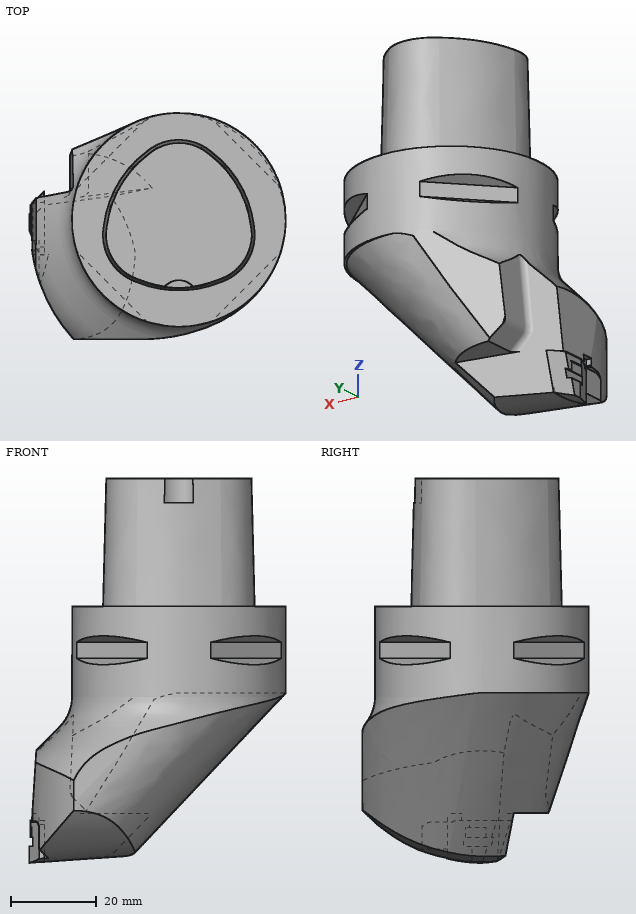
import cadquery as cq
import math

flange_radius = 50.0 / 2
shank_height = 30.0
overall_height = 90.0
tip_z = shank_height - overall_height
tip_x = -35.0
front_face_y = -28.0
far = 54.0

lobe_radius = 18.7
flat_radius = 16.6
joint_radius = 17.6
joint_half_angle = 25.4
shank_taper = math.degrees(math.atan(1 / 40))
key_radius = 4.4
key_depth = 5.8
key_center_y = -18.5

slot_z = -10.3
slot_floor_height = 3.7
slot_mouth_height = 6.75
slot_floor_radius = 22.1
slot_overrun = 1.8
slot_angles = (45, 135, 225, 315)

flange_bottom_z = -20.25
neck_land = 0.9
neck_z = flange_bottom_z - neck_land
neck_fillet = 10.0
cone_end_radius = 32.7
shoulder_radius = 18.0

back_top_radius = (flange_radius - front_face_y) / 2
back_lean = 0.778
front_edge_x = 0.2
front_edge_lean = 0.97
back_shrink = 0.167
flank_angle = 110.0
flank_tilt = 5.7

side_radius = 38.8
side_center_y = -1.8
side_outer_x = -34.7
side_clearance = 3.6
side_face_x = -33.4
side_face_z = -33.9
bottom_radius = 39.6
bottom_clearance = 4.0

rake_slope_x = 0.125
rake_slope_z = 0.072
rake_y = 5.1
wall_top_x = -24.5
wall_bottom_x = -25.6
wall_bottom_z = -43.9
pocket_floor_z = -48.3
wall_rounding = 2.5
rake_rounding = 1.5

seat_x = -31.5
insert_top_z = -50.0
insert_front_y = -8.1
insert_toe_y = -9.9
insert_heel_y = 3.4
insert_corner = 0.9
insert_groove_top_z = -54.0
insert_groove_bottom_z = -56.1
insert_groove_x = -34.2
insert_upper_x = -34.7
land_end_y = -2.3
land_relief = 22.0
recess_x = -34.4
recess_top_z = -51.7
recess_heel_y = 0.9
recess_toe_y = -5.8

scoop_x = -32.8
scoop_start_y = insert_front_y + insert_corner
scoop_end_y = -14.6
scoop_toe_y = -16.65
scoop_bevel_z = -56.7
scoop_top_z = -50.4
scoop_rounding = 2.7
relief_start_y = -4.8
relief_top_z = -48.3


def polar(radius, angle):
    """Point at a radius and an angle in degrees."""
    return (radius * math.cos(math.radians(angle)), radius * math.sin(math.radians(angle)))


def half_space(origin, x_direction, normal):
    """Large block lying on the side of a plane that its normal points to."""
    plane = cq.Plane(origin=origin, xDir=x_direction, normal=normal)
    return cq.Workplane(plane).rect(4 * far, 4 * far).extrude(3 * far)


def make_shank():
    outline = cq.Workplane("XY").moveTo(*polar(joint_radius, 90 - joint_half_angle))
    for lobe_angle in (90, 210, 330):
        outline = outline.threePointArc(
            polar(lobe_radius, lobe_angle), polar(joint_radius, lobe_angle + joint_half_angle)
        ).threePointArc(
            polar(flat_radius, lobe_angle + 60), polar(joint_radius, lobe_angle + 120 - joint_half_angle)
        )
    shank = outline.close().extrude(shank_height, taper=shank_taper)
    key_notch = (
        cq.Workplane("XY", origin=(0, key_center_y, shank_height - key_depth))
        .circle(key_radius)
        .extrude(key_depth)
    )
    return shank.cut(key_notch)


def make_gripper_slot(angle):
    """Straight slot across the rim, widening outward from a flat floor."""
    mouth_slope = (slot_mouth_height - slot_floor_height) / 2 / (flange_radius - slot_floor_radius)
    outer_radius = flange_radius + slot_overrun
    outer_half = slot_floor_height / 2 + mouth_slope * (outer_radius - slot_floor_radius)
    section = [
        (slot_floor_radius, slot_z - slot_floor_height / 2),
        (outer_radius, slot_z - outer_half),
        (outer_radius, slot_z + outer_half),
        (slot_floor_radius, slot_z + slot_floor_height / 2),
    ]
    slot = cq.Workplane("XZ").polyline(section).close().extrude(flange_radius, both=True)
    return slot.rotate((0, 0, 0), (0, 0, 1), angle)


def make_flange():
    flange = cq.Workplane("XY").circle(flange_radius).extrude(flange_bottom_z)
    for angle in slot_angles:
        flange = flange.cut(make_gripper_slot(angle))
    return flange


def make_neck():
    """Turned shape below the flange."""
    sine = math.sqrt(0.5)
    fillet_end = (flange_radius + neck_fillet * (1 - sine), neck_z - neck_fillet * sine)
    fillet_middle = (
        flange_radius + neck_fillet * (1 - math.cos(math.pi / 8)),
        neck_z - neck_fillet * math.sin(math.pi / 8),
    )
    cone_end = (cone_end_radius, fillet_end[1] - (cone_end_radius - fillet_end[0]))
    shoulder_center = (cone_end[0] - shoulder_radius * sine, cone_end[1] - shoulder_radius * sine)
    shoulder_middle = (
        shoulder_center[0] + shoulder_radius * math.cos(math.pi / 8),
        shoulder_center[1] + shoulder_radius * math.sin(math.pi / 8),
    )
    shoulder_end = (shoulder_center[0] + shoulder_radius, shoulder_center[1])
    return (
        cq.Workplane("XZ")
        .moveTo(0, flange_bottom_z)
        .lineTo(flange_radius, flange_bottom_z)
        .lineTo(flange_radius, neck_z)
        .threePointArc(fillet_middle, fillet_end)
        .lineTo(*cone_end)
        .threePointArc(shoulder_middle, shoulder_end)
        .lineTo(shoulder_end[0], tip_z)
        .lineTo(0, tip_z)
        .close()
        .revolve(360, (0, 0, 0), (0, 1, 0))
    )


def make_back():
    """Slanted cone round the back of the head, running out flat along the front face."""

    def section(back, depth):
        radius = back_top_radius - back_shrink * depth
        center_x = flange_radius - back_top_radius - back_lean * depth
        center_y = front_face_y + radius
        edge_x = front_edge_x - front_edge_lean * depth
        middle_x, middle_y = polar(radius, flank_angle / 2)
        rear_middle = (center_x + middle_x, center_y + middle_y)
        end_x, end_y = polar(radius, flank_angle)
        run_out = center_x + end_x + far
        tangent_slope = math.tan(math.radians(flank_angle - 90))
        return (
            back.moveTo(-far, front_face_y)
            .lineTo(edge_x, front_face_y)
            .tangentArcPoint((center_x + radius, center_y), relative=False)
            .threePointArc(rear_middle, (center_x + end_x, center_y + end_y))
            .lineTo(-far, center_y + end_y - run_out * tangent_slope)
            .close()
        )

    depth = flange_bottom_z - tip_z
    back = section(cq.Workplane("XY", origin=(0, 0, flange_bottom_z)), 0)
    back = section(back.workplane(offset=-depth), depth)
    return back.loft(ruled=True)


def make_side_envelope():
    """Upright prism whose rounded outer side forms the side clearance."""
    center = (side_outer_x + side_radius, side_center_y)
    mid_arc = polar(side_radius, 225)
    return (
        cq.Workplane("XY", origin=(0, 0, tip_z))
        .moveTo(far, far)
        .lineTo(side_outer_x, far)
        .lineTo(side_outer_x, side_center_y)
        .threePointArc(
            (center[0] + mid_arc[0], center[1] + mid_arc[1]), (center[0], center[1] - side_radius)
        )
        .lineTo(far, side_center_y - side_radius)
        .close()
        .extrude(-tip_z)
    )


def make_bottom_envelope():
    """Cylinder along X, tilted so that the underside rises away from the tip."""
    axis = (math.cos(math.radians(bottom_clearance)), 0, math.sin(math.radians(bottom_clearance)))
    middle = (tip_x, 0, tip_z + bottom_radius / axis[0])
    plane = cq.Plane(origin=middle, xDir=(0, 1, 0), normal=axis)
    return cq.Workplane(plane).circle(bottom_radius).extrude(2 * far, both=True)


def make_flank_cut():
    """Flat on the rear flank, touching the flange rim at its top."""
    tilt = math.radians(flank_tilt)
    facing = polar(1, flank_angle)
    rim = polar(flange_radius, flank_angle)
    normal = (facing[0] * math.cos(tilt), facing[1] * math.cos(tilt), -math.sin(tilt))
    return half_space((*rim, flange_bottom_z), (-facing[1], facing[0], 0), normal)


def make_side_cut():
    """Flat outer face that leans outward towards the tip."""
    lean = math.radians(side_clearance)
    normal = (-math.cos(lean), 0, math.sin(lean))
    return half_space((side_face_x, 0, side_face_z), (0, 1, 0), normal)


def make_chip_pocket():
    bevel = wall_bottom_z - pocket_floor_z
    profile = [
        (-far, neck_z),
        (wall_top_x, neck_z),
        (wall_bottom_x, wall_bottom_z),
        (wall_bottom_x + bevel, pocket_floor_z),
        (far, pocket_floor_z),
        (far, 2 * tip_z),
        (-far, 2 * tip_z),
    ]
    pocket = cq.Workplane("XZ").polyline(profile).close().extrude(-far)
    wall_corner = cq.selectors.NearestToPointSelector((wall_bottom_x, far / 2, wall_bottom_z))
    pocket = pocket.edges(wall_corner).fillet(wall_rounding)
    rake_side = half_space(
        (side_face_x, rake_y, side_face_z), (1, rake_slope_x, 0), (-rake_slope_x, 1, -rake_slope_z)
    )
    pocket = pocket.intersect(rake_side)
    wall_foot_z = (neck_z + wall_bottom_z) / 2
    wall_foot = cq.selectors.NearestToPointSelector((wall_top_x, rake_y, wall_foot_z))
    return pocket.edges(wall_foot).fillet(rake_rounding)


def make_tip_bevel():
    """Chip face at the tip: a plane through the cutting edge, running back at 45 degrees."""
    edge = cq.Vector(insert_upper_x - tip_x, insert_heel_y, insert_top_z - tip_z)
    inward = cq.Vector(1, 1, 0)
    normal = edge.cross(inward)
    return half_space((tip_x, 0, tip_z), inward.toTuple(), normal.toTuple())


def make_insert_blank(outer_x):
    """Plate that fills the seat out to the given X."""
    outline = [
        (far, insert_top_z),
        (insert_front_y + 2 * insert_corner, insert_top_z),
        (insert_front_y, insert_top_z - insert_corner),
        (insert_front_y, insert_groove_bottom_z),
        (insert_toe_y, 2 * tip_z),
        (far, 2 * tip_z),
    ]
    return cq.Workplane("YZ", origin=(outer_x, 0, 0)).polyline(outline).close().extrude(seat_x - outer_x)


def make_insert():
    insert = make_insert_blank(tip_x)
    step = [
        (-far, insert_top_z),
        (insert_upper_x, insert_top_z),
        (insert_upper_x, insert_groove_top_z),
        (insert_groove_x, insert_groove_top_z),
        (insert_groove_x, insert_groove_bottom_z),
        (-far, insert_groove_bottom_z),
    ]
    outer_step = cq.Workplane("XZ").polyline(step).close().extrude(far, both=True)
    recess = (
        cq.Workplane("YZ", origin=(recess_x, 0, 0))
        .moveTo(recess_heel_y, recess_top_z)
        .lineTo(recess_toe_y, recess_top_z)
        .lineTo(recess_toe_y, insert_groove_top_z)
        .lineTo(recess_heel_y, insert_groove_top_z)
        .close()
        .extrude(-far)
    )
    turn = math.radians(land_relief)
    relief = half_space(
        (tip_x, land_end_y, tip_z), (0, 0, 1), (-math.cos(turn), -math.sin(turn), 0)
    )
    insert = insert.intersect(make_bottom_envelope())
    for cut in (outer_step, recess, relief, make_tip_bevel()):
        insert = insert.cut(cut)
    return insert


def make_scoop():
    """Shallow relief in the side of the head, next to the insert."""
    depth = scoop_x + far
    side = cq.Workplane("YZ", origin=(-far, 0, 0))
    scoop = (
        side.moveTo(scoop_start_y, scoop_top_z)
        .lineTo(scoop_end_y + scoop_rounding, scoop_top_z)
        .radiusArc((scoop_end_y, scoop_top_z - scoop_rounding), -scoop_rounding)
        .lineTo(scoop_toe_y, tip_z)
        .lineTo(scoop_start_y, tip_z)
        .close()
        .extrude(depth)
    )
    notch = (
        side.moveTo(relief_start_y, relief_top_z)
        .lineTo(insert_front_y, relief_top_z)
        .lineTo(insert_front_y, scoop_top_z)
        .lineTo(relief_start_y, scoop_top_z)
        .close()
        .extrude(depth)
    )
    bevel_depth = scoop_bevel_z - tip_z
    bevel_profile = [
        (-far, scoop_bevel_z),
        (scoop_x, scoop_bevel_z),
        (scoop_x + bevel_depth, tip_z),
        (-far, tip_z),
    ]
    bevel = (
        cq.Workplane("XZ", origin=(0, scoop_toe_y, 0))
        .polyline(bevel_profile)
        .close()
        .extrude(scoop_toe_y - insert_front_y)
    )
    return scoop.union(notch).union(bevel)


def make_holder():
    head = make_neck().intersect(make_back())
    head = head.intersect(make_side_envelope()).intersect(make_bottom_envelope())
    cuts = [
        make_flank_cut(),
        make_side_cut(),
        make_chip_pocket(),
        make_tip_bevel(),
        make_scoop(),
        make_insert_blank(-far),
    ]
    for cut in cuts:
        head = head.cut(cut)
    return make_shank().union(make_flange()).union(head)


holder = make_holder()
insert = make_insert()
result = cq.Compound.makeCompound([holder.val(), insert.val()])